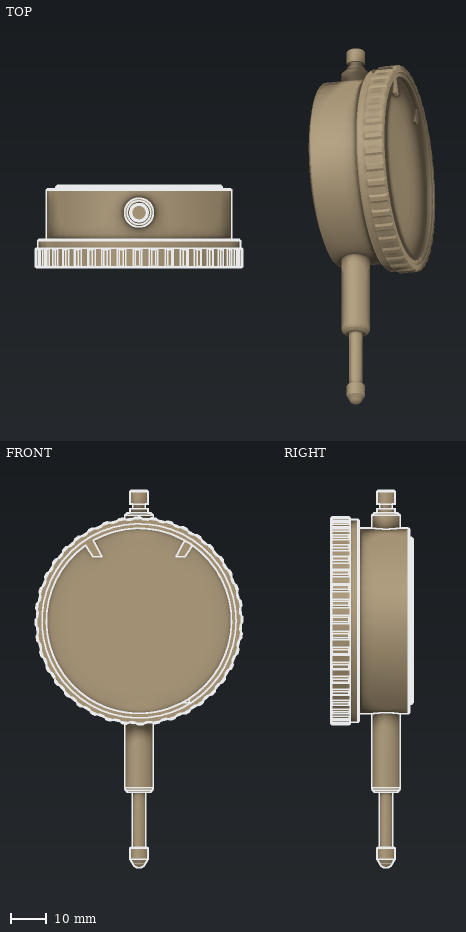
import cadquery as cq
import math


case_radius = 26.0
case_back = 6.6
case_chamfer = 0.4
cover_radius = 23.3
cover_back = 7.6
cover_chamfer = 0.5
bezel_radius = 28.4
bezel_back = -7.5
bezel_chamfer = 0.4
bezel_front = cover_back - 23.0

lip_radius = 27.1
lip_depth = 0.3
window_radius = 25.8
window_depth = 1.6
dial_face = bezel_front + window_depth
lip_face = bezel_front + lip_depth

band_radius = 28.6
band_back = -9.9
band_chamfer = 0.3
ridge_count = 40
ridge_start_angle = 0.8
ridge_tip_radius = 29.0
ridge_root_width = 2.3
ridge_tip_width = 1.2
ridge_end_chamfer = 0.4
ridge_overlap = 0.5

thick_marker_height = window_depth - lip_depth
thin_marker_height = 0.6
marker_outline = [(10.3, 17.9), (12.9, 17.9), (15.4, 21.8), (13.1, 23.1)]

notch_corner_x = 14.0
notch_corner_z = -22.9
notch_size = 2.6
notch_floor_height = 0.4

cap_top = 36.5
cap_radius = 2.5
cap_chamfer = 0.4
cap_bottom = 32.6
neck_radius = 1.8
flange_top = 31.3
collar_top = 30.2
collar_radius = 4.0
collar_chamfer = 0.7
stem_radius = 4.0
stem_bottom = -47.9
stem_shoulder_radius = 3.8
stem_shoulder = -47.3
stem_end_radius = 3.2
stem_chamfer_top = -46.6
spindle_radius = 1.9
tip_top = -63.2
tip_radius = 2.5
tip_chamfer = 0.3
tip_shoulder = -66.6
ball_radius = 1.8
ball_start = -67.7
tip_bottom = cap_top - 105.5


def make_case():
    """Case, back cover and bezel as one turned body with the stepped dial recess."""
    profile = [
        (0, cover_back),
        (cover_radius - cover_chamfer, cover_back),
        (cover_radius, cover_back - cover_chamfer),
        (cover_radius, case_back),
        (case_radius - case_chamfer, case_back),
        (case_radius, case_back - case_chamfer),
        (case_radius, bezel_back),
        (bezel_radius - bezel_chamfer, bezel_back),
        (bezel_radius, bezel_back - bezel_chamfer),
        (bezel_radius, band_back),
        (band_radius, band_back),
        (band_radius, bezel_front + band_chamfer),
        (band_radius - band_chamfer, bezel_front),
        (lip_radius, bezel_front),
        (lip_radius, lip_face),
        (window_radius, lip_face),
        (window_radius, dial_face),
        (0, dial_face),
    ]
    return cq.Workplane("XY").polyline(profile).close().revolve(360, (0, 0), (0, 1))


def make_ridge():
    """One grip ridge at +X, with sloped flanks and sloped ends."""
    root_radius = band_radius - ridge_overlap
    height = ridge_tip_radius - root_radius
    flank_slope = (ridge_root_width - ridge_tip_width) / 2 / (ridge_tip_radius - band_radius)
    half_root = ridge_tip_width / 2 + flank_slope * height
    section = [
        (root_radius, -half_root),
        (ridge_tip_radius, -ridge_tip_width / 2),
        (ridge_tip_radius, ridge_tip_width / 2),
        (root_radius, half_root),
    ]
    length = band_back - bezel_front
    return (
        cq.Workplane("XZ", origin=(0, band_back, 0))
        .polyline(section)
        .close()
        .extrude(length)
        .faces(">X")
        .edges("|Z")
        .chamfer(ridge_end_chamfer)
    )


def make_marker(side, height):
    """Flat tolerance marker on the dial; side is +1 for +X and -1 for -X."""
    outline = [(side * x, z) for x, z in marker_outline]
    return (
        cq.Workplane("XZ", origin=(0, dial_face, 0))
        .polyline(outline)
        .close()
        .extrude(height)
    )


def make_notch():
    """Cutter for the notch, open to the window and stopping above the dial."""
    floor = dial_face - notch_floor_height
    return (
        cq.Workplane("XZ", origin=(0, floor, 0))
        .moveTo(notch_corner_x, notch_corner_z)
        .rect(-notch_size, notch_size, centered=False)
        .extrude(floor - bezel_front)
    )


def make_upper_stem():
    """Collar, neck and lifting cap above the case."""
    profile = [
        (0, 0),
        (collar_radius, 0),
        (collar_radius, collar_top - collar_chamfer),
        (collar_radius - collar_chamfer, collar_top),
        (cap_radius, collar_top),
        (cap_radius, flange_top),
        (neck_radius, flange_top),
        (neck_radius, cap_bottom),
        (cap_radius, cap_bottom),
        (cap_radius, cap_top - cap_chamfer),
        (cap_radius - cap_chamfer, cap_top),
        (0, cap_top),
    ]
    return cq.Workplane("XZ").polyline(profile).close().revolve(360, (0, 0), (0, 1))


def make_lower_stem():
    """Stem, spindle and rounded contact tip below the case."""
    ball_height = ball_start - tip_bottom
    arc_radius = (ball_radius**2 + ball_height**2) / (2 * ball_height)
    arc_half_angle = math.asin(ball_radius / arc_radius) / 2
    arc_middle = (
        arc_radius * math.sin(arc_half_angle),
        tip_bottom + arc_radius * (1 - math.cos(arc_half_angle)),
    )
    profile = [
        (0, 0),
        (stem_radius, 0),
        (stem_radius, stem_chamfer_top),
        (stem_shoulder_radius, stem_shoulder),
        (stem_end_radius, stem_bottom),
        (spindle_radius, stem_bottom),
        (spindle_radius, tip_top),
        (tip_radius - tip_chamfer, tip_top),
        (tip_radius, tip_top - tip_chamfer),
        (tip_radius, tip_shoulder),
        (ball_radius, ball_start),
    ]
    return (
        cq.Workplane("XZ")
        .polyline(profile)
        .threePointArc(arc_middle, (0, tip_bottom))
        .close()
        .revolve(360, (0, 0), (0, 1))
    )


result = make_case().cut(make_notch()).union(make_upper_stem()).union(make_lower_stem())
result = result.union(make_marker(-1, thick_marker_height)).union(make_marker(1, thin_marker_height))

ridge = make_ridge()
for index in range(ridge_count):
    angle = ridge_start_angle + index * 360 / ridge_count
    result = result.union(ridge.rotate((0, 0, 0), (0, -1, 0), angle))